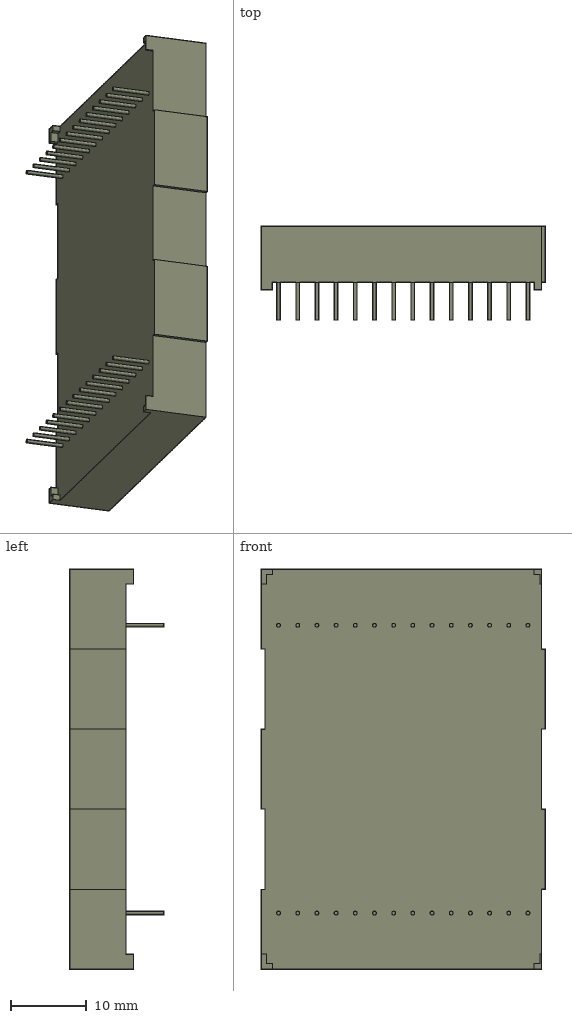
import cadquery as cq

overall_width = 37.65
body_height = 53.0
body_depth = 7.45

band_count = 5
band_shift = 0.5
band_width = overall_width - band_shift
band_height = body_height / band_count

foot_length_x = 1.5
foot_length_z = 2.0
foot_thickness = 0.75
foot_depth = 1.0

pin_row_count = 2
pins_per_row = 14
pin_pitch = 2.54
pin_row_spacing = 38.1
pin_diameter = 0.5
pin_length = 5.0

left_x = -overall_width / 2
bottom_z = -body_height / 2
top_z = body_height / 2


def make_box(x_min, x_max, y_min, y_max, z_min, z_max):
    """Box spanning the given limits."""
    size = (x_max - x_min, y_max - y_min, z_max - z_min)
    return cq.Workplane("XY").box(*size, centered=False).translate((x_min, y_min, z_min))


def make_body():
    """Stepped block built from bands with alternating sideways shift."""
    body = cq.Workplane("XY")
    for band in range(band_count):
        x_min = left_x + band_shift * (band % 2)
        z_min = bottom_z + band * band_height
        body = body.union(make_box(x_min, x_min + band_width, 0, body_depth, z_min, z_min + band_height))
    return body


def make_feet():
    """Four L-shaped feet, trimmed flush with the sides of the end bands."""
    z_arm = make_box(left_x, left_x + foot_thickness, -foot_depth, 0, bottom_z, bottom_z + foot_length_z)
    x_arm = make_box(left_x, left_x + foot_length_x, -foot_depth, 0, bottom_z, bottom_z + foot_thickness)
    lower_left = z_arm.union(x_arm)
    lower_pair = lower_left.union(lower_left.mirror("YZ"))
    feet = lower_pair.union(lower_pair.mirror("XY"))
    end_band_limits = make_box(left_x, left_x + band_width, -foot_depth, 0, bottom_z, top_z)
    return feet.intersect(end_band_limits)


def make_pins():
    """Two rows of pins standing on the pin face."""
    return (
        cq.Workplane("XZ")
        .rarray(pin_pitch, pin_row_spacing, pins_per_row, pin_row_count)
        .circle(pin_diameter / 2)
        .extrude(pin_length)
    )


result = make_body().union(make_feet()).union(make_pins())